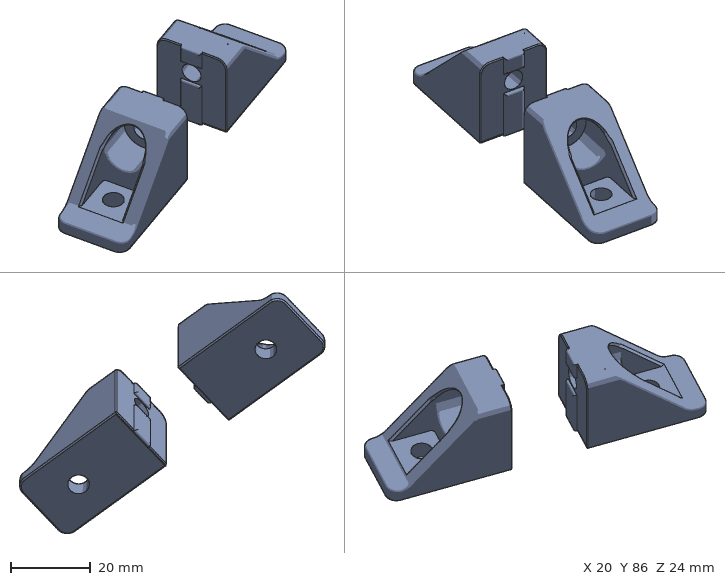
import cadquery as cq
import math


width = 20.0
height = 24.0
depth = 33.0
face_gap = 20.0

slope_angle = 45.0
top_land = 8.0
foot_thickness = 4.0
slope_blend_radius = 5.0
corner_radius = 3.0
rim_radius = 1.0
bottom_chamfer = 0.4
face_chamfer = 0.3

hole_diameter = 5.4
head_diameter = 11.0
wall_hole_height = 16.0
seat_thickness = 5.0

pocket_width = 11.6
pocket_back = 15.0
pocket_corner_radius = 1.0
bore_mouth_radius = 1.0
opening_chamfer = 0.6
foot_hole_distance = pocket_back + head_diameter / 2

key_width = 6.0
key_projection = 0.8
key_edge_radius = 0.75
key_embed = face_chamfer
key_gap = 6.0

slope_end = top_land + (height - foot_thickness) / math.tan(math.radians(slope_angle))


def make_wedge():
    """Side outline extruded across the width, with the slope blended into the top and the foot."""
    half_angle = math.radians(slope_angle / 2)
    setback = slope_blend_radius * math.tan(half_angle)
    setback_y = setback * math.cos(math.radians(slope_angle))
    setback_z = setback * math.sin(math.radians(slope_angle))
    return (
        cq.Workplane("YZ")
        .moveTo(0, 0)
        .lineTo(-depth, 0)
        .lineTo(-depth, foot_thickness)
        .lineTo(-slope_end - setback, foot_thickness)
        .radiusArc((-slope_end + setback_y, foot_thickness + setback_z), -slope_blend_radius)
        .lineTo(-top_land - setback_y, height - setback_z)
        .radiusArc((-top_land + setback, height), slope_blend_radius)
        .lineTo(0, height)
        .close()
        .extrude(width / 2, both=True)
    )


def make_body():
    """Wedge with rounded top corners, foot corners and rim, and chamfered lower and mounting edges."""
    envelope = (
        cq.Workplane("XY")
        .box(width, depth, height, centered=(True, False, False))
        .translate((0, -depth, 0))
        .edges("|Z and <Y")
        .fillet(corner_radius)
        .edges("|Y and >Z")
        .fillet(corner_radius)
    )
    foot_tip = cq.selectors.NearestToPointSelector((0, -depth, foot_thickness))
    return (
        make_wedge()
        .intersect(envelope)
        .edges(foot_tip)
        .fillet(rim_radius)
        .faces("<Z")
        .chamfer(bottom_chamfer)
        .faces(">Y")
        .chamfer(face_chamfer)
    )


def make_cavity():
    """Screw head pocket over the foot joined with the screw head bore in the wall."""
    pocket_length = depth - pocket_back
    pocket = (
        cq.Workplane("XY")
        .box(pocket_width, pocket_length, height, centered=(True, False, False))
        .translate((0, -depth, seat_thickness))
        .edges("|Z and >Y")
        .fillet(pocket_corner_radius)
    )
    bore = (
        cq.Workplane("XZ", origin=(0, -seat_thickness, wall_hole_height))
        .circle(head_diameter / 2)
        .extrude(depth)
    )
    return pocket.union(bore)


def round_bore_mouth(body):
    """Round the lower arc where the bore opens into the back wall of the pocket."""
    lowest_point = (0, -pocket_back, wall_hole_height - head_diameter / 2)
    mouth = cq.selectors.NearestToPointSelector(lowest_point)
    return body.edges("%CIRCLE").edges(mouth).fillet(bore_mouth_radius)


def chamfer_opening(body):
    """Break the edge where the cavity opens on the slope, along the pocket sides and over the bore."""
    bore_opening = cq.selectors.BoxSelector(
        (-pocket_width / 2, -pocket_back, wall_hole_height),
        (pocket_width / 2, -top_land, height - rim_radius),
    )
    opening = body.edges("%ELLIPSE").edges(bore_opening)
    return opening.chamfer(opening_chamfer)


def make_key_block(bottom, top):
    """Length of the key, rounded around its tip and set into the body to the depth of the face chamfer."""
    return (
        cq.Workplane("XY")
        .box(key_width, key_projection + key_embed, top - bottom, centered=(True, False, False))
        .translate((0, -key_embed, bottom))
        .faces(">Y")
        .edges()
        .fillet(key_edge_radius)
    )


def make_screw_holes():
    """Clearance holes through the wall and through the foot."""
    wall_hole = (
        cq.Workplane("XZ", origin=(0, key_projection, wall_hole_height))
        .circle(hole_diameter / 2)
        .extrude(depth)
    )
    foot_hole = cq.Workplane("XY", origin=(0, -foot_hole_distance, 0)).circle(hole_diameter / 2).extrude(height)
    return wall_hole.union(foot_hole)


def make_bracket():
    body = make_body().cut(make_cavity())
    body = round_bore_mouth(body)
    body = chamfer_opening(body)
    lower_key = make_key_block(0, wall_hole_height - key_gap / 2)
    upper_key = make_key_block(wall_hole_height + key_gap / 2, height)
    return body.union(lower_key).union(upper_key).cut(make_screw_holes())


facing_bracket = make_bracket().translate((0, -face_gap / 2, 0))
brackets = []
for turn in (0, 180):
    brackets.append(facing_bracket.rotate((0, 0, 0), (0, 0, 1), turn))

result = cq.Compound.makeCompound([bracket.val() for bracket in brackets])